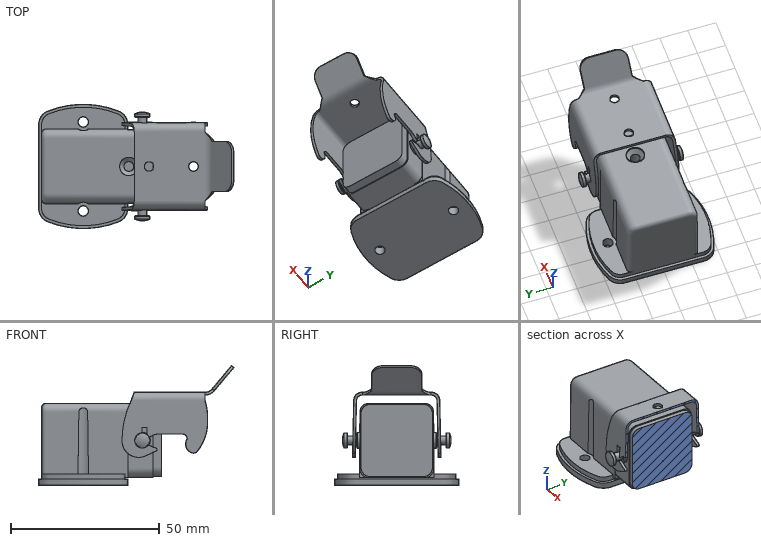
import cadquery as cq
import math

BASE_LENGTH = 30.1
BASE_WIDTH = 42.0
BASE_END_RADIUS = 32.3
BASE_CORNER_RADIUS = 4.95
LOWER_PLATE_HEIGHT = 2.1
UPPER_PLATE_TOP = 3.9
PLATE_STEP = 1.0
SCREW_OFFSET = 15.0
SCREW_HOLE_RADIUS = 1.7
SCREW_GROOVE_RADIUS = 2.95

HOOD_TOP = 27.7
HOOD_BOTTOM = 2.6
HOOD_HALF_WIDTH = 12.45
HOOD_FOOT_HALF_WIDTH = 12.65
HOOD_ROUND = 3.0
HOOD_BACK_ROUND = 1.5
COLLAR_END = 38.6
PLUG_END = 41.5
PLUG_STEP = 0.4

TOP_SCREW_X = 30.45
TOP_SCREW_RADIUS = 1.65
TOP_SCREW_DEPTH = 6.6
COUNTERSINK_RADIUS = 3.1
COUNTERSINK_RIM = 0.5
COUNTERSINK_DEPTH = 2.0

PIN_X = 35.0
PIN_Z = 15.15
PIN_RADIUS = 1.5
PIN_BOSS_RADIUS = 2.7
PIN_BOSS_END = 13.3
PIN_BOSS_TIP_RADIUS = 2.2
PIN_BOSS_TIP = 13.65
PIN_HEAD_RADIUS = 2.6
PIN_HEAD_CHAMFER = 0.25
PIN_HEAD_START = 16.55
PIN_HEAD_EDGE = 17.8
PIN_HEAD_END = 18.4

SHEET = 1.0
LEVER_TOP = 31.45
LEVER_HALF_WIDTH = 14.5
LEVER_FOOT_HALF_WIDTH = 14.95
LEVER_BEND_RADIUS = 2.9
LEVER_TOP_START = 32.3
LEVER_SIDE_START = 31.2
LEVER_TOP_END = 56.2
LEVER_END = 57.1
LEVER_HOLE_RADIUS = 1.6
LEVER_HOLES_X = (37.25, 52.3)
HOOK_X = 33.75
HOOK_Z = 15.0
HOOK_RADIUS = 5.6
HOOK_BACK_RADIUS = 31.65
HOOK_TANGENT_ANGLE = math.radians(-65)
HOOK_TIP = (39.7, 11.6)
HOOK_TIP_WIDTH = 0.9
HOOK_TIP_RADIUS = 0.5
MOUTH_X = 36.25
MOUTH_BOTTOM = 13.9
MOUTH_TOP = 15.35
MOUTH_LIP = (37.5, 16.2)
MOUTH_LIP_RADIUS = 4.6
LEG_EDGE_Z = 17.3
LEG_EDGE_START = 39.95
LEG_EDGE_END = 48.6
LATCH_ROOT = (50.1, 15.6)
LATCH_ROOT_RADIUS = 1.6
LATCH_INNER = (49.8, 12.9)
LATCH_TIP = (52.3, 10.8)
LATCH_HEEL = (53.45, 11.35)
LATCH_TIP_RADIUS = 1.7
LATCH_OUTER = (55.95, 15.5)
LATCH_BELLY_Z = 21.6
LATCH_SHOULDER = (56.95, 25.2)
NOTCH_START = 34.9
NOTCH_WIDTH = 1.7
NOTCH_TOP = 19.5

TONGUE_ANGLE = math.radians(50)
TONGUE_TIP = 65.9
TONGUE_HALF_WIDTH = 8.5
TONGUE_BEND_RADIUS = 4.0
TONGUE_CORNER_RADIUS = 3.8

BASE_CENTRE = BASE_LENGTH / 2
LEVER_BEND_START = LEVER_TOP - LEVER_BEND_RADIUS
LEVER_FLAT_HALF_WIDTH = LEVER_HALF_WIDTH - LEVER_BEND_RADIUS
LEVER_FOOT = HOOK_Z - HOOK_RADIUS
LEVER_START = HOOK_X - HOOK_RADIUS


def base_plate(inset, bottom, top):
    """Flange plate with bowed ends, shrunk by inset all round."""
    half_length = BASE_CENTRE - inset
    half_width = BASE_WIDTH / 2 - inset
    end_radius = BASE_END_RADIUS - inset
    corner_y = half_width - end_radius + math.sqrt(end_radius**2 - half_length**2)
    return (
        cq.Workplane("XY")
        .workplane(offset=bottom)
        .center(BASE_CENTRE, 0)
        .moveTo(-half_length, -corner_y)
        .threePointArc((0, -half_width), (half_length, -corner_y))
        .lineTo(half_length, corner_y)
        .threePointArc((0, half_width), (-half_length, corner_y))
        .close()
        .extrude(top - bottom)
        .edges("|Z")
        .fillet(BASE_CORNER_RADIUS - inset)
    )


def hood():
    """Box closed toward -X, with drafted sides and rounded top edges."""
    flat_half_width = HOOD_HALF_WIDTH - HOOD_ROUND
    round_start = HOOD_TOP - HOOD_ROUND
    box = (
        cq.Workplane("YZ")
        .workplane(offset=PLATE_STEP)
        .moveTo(-HOOD_FOOT_HALF_WIDTH, HOOD_BOTTOM)
        .lineTo(-HOOD_HALF_WIDTH, round_start)
        .radiusArc((-flat_half_width, HOOD_TOP), HOOD_ROUND)
        .lineTo(flat_half_width, HOOD_TOP)
        .radiusArc((HOOD_HALF_WIDTH, round_start), HOOD_ROUND)
        .lineTo(HOOD_FOOT_HALF_WIDTH, HOOD_BOTTOM)
        .close()
        .extrude(BASE_LENGTH - PLATE_STEP)
    )
    return box.faces("<X").edges("not <Z").fillet(HOOD_BACK_ROUND)


def end_block(start, end, inset):
    """Rounded rectangular block along X, level with the hood less inset."""
    height = HOOD_TOP - HOOD_BOTTOM
    return (
        cq.Workplane("YZ")
        .workplane(offset=start)
        .center(0, HOOD_BOTTOM + height / 2)
        .rect(2 * (HOOD_HALF_WIDTH - inset), height - 2 * inset)
        .extrude(end - start)
        .edges("|X")
        .fillet(HOOD_ROUND)
    )


def top_screw_hole():
    """Countersunk blind hole in the top of the hood."""
    return (
        cq.Workplane("XZ")
        .polyline([
            (0, HOOD_TOP),
            (COUNTERSINK_RADIUS, HOOD_TOP),
            (COUNTERSINK_RADIUS, HOOD_TOP - COUNTERSINK_RIM),
            (TOP_SCREW_RADIUS, HOOD_TOP - COUNTERSINK_DEPTH),
            (TOP_SCREW_RADIUS, HOOD_TOP - TOP_SCREW_DEPTH),
            (0, HOOD_TOP - TOP_SCREW_DEPTH),
        ])
        .close()
        .revolve(360, (0, 0), (0, 1))
        .translate((TOP_SCREW_X, 0, 0))
    )


def housing():
    """Flange, hood, collar and plug with all their holes."""
    body = base_plate(0, 0, LOWER_PLATE_HEIGHT)
    body = body.union(base_plate(PLATE_STEP, LOWER_PLATE_HEIGHT, UPPER_PLATE_TOP))
    body = body.union(hood())
    body = body.union(end_block(BASE_CENTRE, COLLAR_END, 0))
    body = body.union(end_block(COLLAR_END, PLUG_END, PLUG_STEP))
    screw_spots = [(BASE_CENTRE, -SCREW_OFFSET), (BASE_CENTRE, SCREW_OFFSET)]
    holes = cq.Workplane("XY").pushPoints(screw_spots).circle(SCREW_HOLE_RADIUS).extrude(UPPER_PLATE_TOP)
    grooves = (
        cq.Workplane("XY")
        .workplane(offset=UPPER_PLATE_TOP)
        .pushPoints(screw_spots)
        .circle(SCREW_GROOVE_RADIUS)
        .extrude(HOOD_TOP - UPPER_PLATE_TOP)
    )
    return body.cut(holes).cut(grooves).cut(top_screw_hole())


def pivot_pin():
    """Turned pin along +Y: boss, shank and domed head."""
    dome_rise = PIN_HEAD_END - PIN_HEAD_EDGE
    dome_radius = (PIN_HEAD_RADIUS**2 + dome_rise**2) / (2 * dome_rise)
    return (
        cq.Workplane("XY")
        .lineTo(PIN_BOSS_RADIUS, 0)
        .lineTo(PIN_BOSS_RADIUS, PIN_BOSS_END)
        .lineTo(PIN_BOSS_TIP_RADIUS, PIN_BOSS_TIP)
        .lineTo(PIN_RADIUS, PIN_BOSS_TIP)
        .lineTo(PIN_RADIUS, PIN_HEAD_START)
        .lineTo(PIN_HEAD_RADIUS - PIN_HEAD_CHAMFER, PIN_HEAD_START)
        .lineTo(PIN_HEAD_RADIUS, PIN_HEAD_START + PIN_HEAD_CHAMFER)
        .lineTo(PIN_HEAD_RADIUS, PIN_HEAD_EDGE)
        .radiusArc((0, PIN_HEAD_END), -dome_radius)
        .close()
        .revolve(360, (0, 0), (0, 1))
        .translate((PIN_X, 0, PIN_Z))
    )


def lever_channel():
    """Sheet bent to an upside-down U, running along X."""
    outer = (
        cq.Workplane("YZ")
        .workplane(offset=LEVER_START)
        .moveTo(-LEVER_FOOT_HALF_WIDTH, LEVER_FOOT)
        .lineTo(-LEVER_HALF_WIDTH, LEVER_TOP)
        .lineTo(LEVER_HALF_WIDTH, LEVER_TOP)
        .lineTo(LEVER_FOOT_HALF_WIDTH, LEVER_FOOT)
        .close()
        .extrude(LEVER_END - LEVER_START)
        .edges("|X and >Z")
        .fillet(LEVER_BEND_RADIUS)
    )
    return outer.faces("<X or >X or <Z").shell(-SHEET)


def lever_side_outline():
    """Side shape of the lever: pivot hook at -X, latch hook at +X."""
    hook_bottom = (HOOK_X, LEVER_FOOT)
    hook_end = (
        HOOK_X + HOOK_RADIUS * math.cos(HOOK_TANGENT_ANGLE),
        HOOK_Z + HOOK_RADIUS * math.sin(HOOK_TANGENT_ANGLE),
    )
    return (
        cq.Workplane("XZ")
        .moveTo(LEVER_SIDE_START, LEVER_TOP)
        .lineTo(LEVER_SIDE_START, LEVER_BEND_START)
        .radiusArc((LEVER_START, HOOK_Z), -HOOK_BACK_RADIUS)
        .threePointArc(hook_bottom, hook_end)
        .lineTo(*HOOK_TIP)
        .radiusArc((HOOK_TIP[0], HOOK_TIP[1] + HOOK_TIP_WIDTH), -HOOK_TIP_RADIUS)
        .lineTo(MOUTH_X, MOUTH_BOTTOM)
        .lineTo(MOUTH_X, MOUTH_TOP)
        .lineTo(*MOUTH_LIP)
        .radiusArc((LEG_EDGE_START, LEG_EDGE_Z), MOUTH_LIP_RADIUS)
        .lineTo(LEG_EDGE_END, LEG_EDGE_Z)
        .radiusArc(LATCH_ROOT, LATCH_ROOT_RADIUS)
        .threePointArc(LATCH_INNER, LATCH_TIP)
        .radiusArc(LATCH_HEEL, -LATCH_TIP_RADIUS)
        .threePointArc(LATCH_OUTER, (LEVER_END, LATCH_BELLY_Z))
        .threePointArc(LATCH_SHOULDER, (LEVER_TOP_END, LEVER_BEND_START))
        .lineTo(LEVER_TOP_END, LEVER_TOP)
        .close()
        .extrude(LEVER_FOOT_HALF_WIDTH, both=True)
    )


def ruled_solid(sections):
    """Solid with straight sides through a row of closed point outlines."""
    wires = [cq.Wire.makePolygon([cq.Vector(*p) for p in points], close=True) for points in sections]
    return cq.Workplane("XY").newObject([cq.Solid.makeLoft(wires, True)])


def top_edge_cutter():
    """Cutter on the +Y half that leaves the top front edge square to the bent sheet."""
    reach = 1.5 * LEVER_BEND_RADIUS

    def section(y, angle, end):
        y_out = y + reach * math.sin(angle)
        z_out = LEVER_BEND_START + reach * math.cos(angle)
        return [
            (LEVER_START, y, LEVER_BEND_START),
            (end, y, LEVER_BEND_START),
            (end, y_out, z_out),
            (LEVER_START, y_out, z_out),
        ]

    sections = [section(0, 0, LEVER_TOP_START)]
    for degrees in (0, 30, 60, 90):
        angle = math.radians(degrees)
        end = LEVER_SIDE_START + (LEVER_TOP_START - LEVER_SIDE_START) * math.cos(angle)
        sections.append(section(LEVER_FLAT_HALF_WIDTH, angle, end))
    return ruled_solid(sections)


def tongue_sheet(half_width):
    """Bent strip: a short bend up, then straight to the tip."""
    centre_z = LEVER_TOP - SHEET + TONGUE_BEND_RADIUS
    inner_radius = TONGUE_BEND_RADIUS - SHEET

    def bend_point(radius, angle):
        return (LEVER_TOP_END + radius * math.sin(angle), centre_z - radius * math.cos(angle))

    lower_end = bend_point(TONGUE_BEND_RADIUS, TONGUE_ANGLE)
    run = TONGUE_TIP - lower_end[0]
    rise = run * math.tan(TONGUE_ANGLE)
    upper_end = bend_point(inner_radius, TONGUE_ANGLE)
    return (
        cq.Workplane("XZ")
        .moveTo(*bend_point(TONGUE_BEND_RADIUS, 0))
        .threePointArc(bend_point(TONGUE_BEND_RADIUS, TONGUE_ANGLE / 2), lower_end)
        .line(run, rise)
        .lineTo(upper_end[0] + run, upper_end[1] + rise)
        .lineTo(*upper_end)
        .threePointArc(bend_point(inner_radius, TONGUE_ANGLE / 2), bend_point(inner_radius, 0))
        .close()
        .extrude(half_width, both=True)
    )


def tongue_flare():
    """Block over the tongue's bend that narrows evenly along the bend."""
    axis_z = LEVER_TOP - SHEET + TONGUE_BEND_RADIUS
    near = 0.5 * TONGUE_BEND_RADIUS
    far = 1.5 * TONGUE_BEND_RADIUS

    def section(half_width, angle):
        corners = [(near, -half_width), (near, half_width), (far, half_width), (far, -half_width)]
        return [
            (LEVER_TOP_END + radius * math.sin(angle), y, axis_z - radius * math.cos(angle))
            for radius, y in corners
        ]

    return ruled_solid([section(LEVER_FLAT_HALF_WIDTH, 0), section(TONGUE_HALF_WIDTH, TONGUE_ANGLE)])


def tongue():
    """Thumb tongue with rounded tip corners and a flared root."""
    normal = cq.Vector(-math.sin(TONGUE_ANGLE), 0, math.cos(TONGUE_ANGLE))
    tip_corners = cq.selectors.ParallelDirSelector(normal)
    strip = tongue_sheet(TONGUE_HALF_WIDTH)
    strip = strip.edges(tip_corners).edges(">X").fillet(TONGUE_CORNER_RADIUS)
    return strip.union(tongue_sheet(LEVER_FLAT_HALF_WIDTH).intersect(tongue_flare()))


def lever():
    """Bent lever with its two top holes and a notch above each pin."""
    sheet = lever_channel().intersect(lever_side_outline())
    sheet = sheet.cut(top_edge_cutter()).cut(top_edge_cutter().mirror("XZ"))
    sheet = sheet.union(tongue())
    holes = (
        cq.Workplane("XY")
        .workplane(offset=LEVER_BEND_START)
        .pushPoints([(x, 0) for x in LEVER_HOLES_X])
        .circle(LEVER_HOLE_RADIUS)
        .extrude(LEVER_BEND_RADIUS)
    )
    notch = (
        cq.Workplane("XY")
        .box(NOTCH_WIDTH, 2 * LEVER_FOOT_HALF_WIDTH, NOTCH_TOP - PIN_Z, centered=(False, True, False))
        .translate((NOTCH_START, 0, PIN_Z))
    )
    return sheet.cut(holes).cut(notch)


result = housing().union(lever())
result = result.union(pivot_pin()).union(pivot_pin().mirror("XZ"))